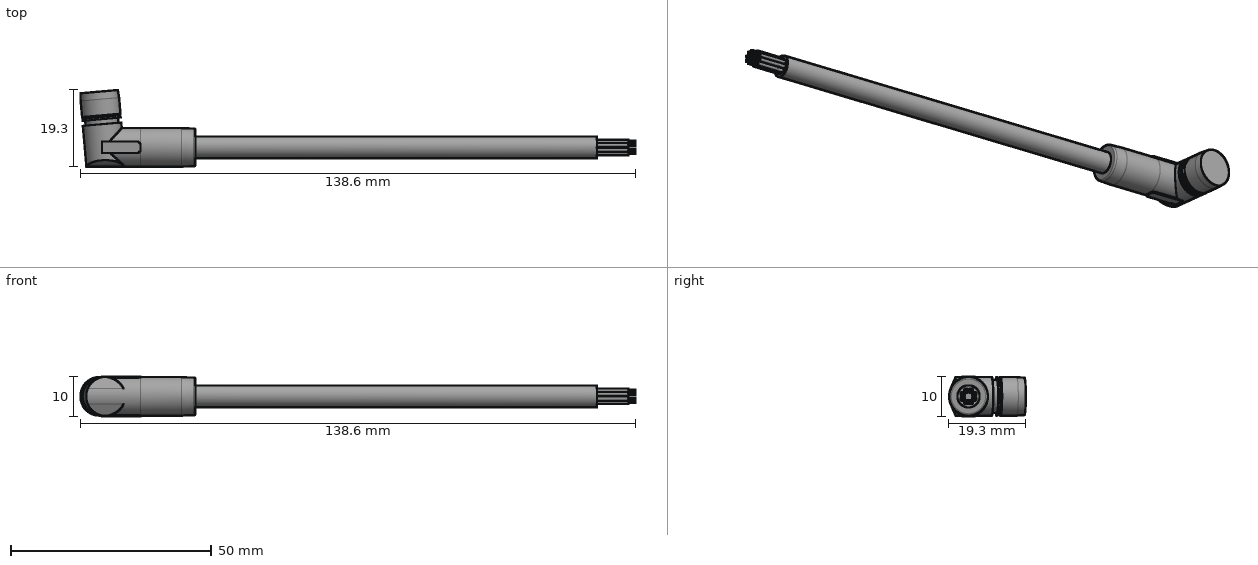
import cadquery as cq
import math


OVERALL_LENGTH = 138.6
BODY_RADIUS = 4.9
PLUG_LEAN = 5.0

BODY_TOP = 5.8
NECK_END = 7.1
GROOVE_BOTTOM = 7.6
NUT_START = 8.0
NUT_TAPER_START = 12.0
PLUG_END = 14.0
PLUG_OVERRUN = 8.3

NECK_RADIUS = 4.2
GROOVE_RADIUS = 4.6
PLUG_TIP_RADIUS = 4.7

RIDGE_HALF_WIDTH = 2.0

PAD_WIDTH = 2.9
PAD_SPAN = 10.0
PAD_START = -0.5
PAD_CORNER = 0.5

lean = math.radians(PLUG_LEAN)
left_reach = PLUG_END * math.sin(lean) + PLUG_TIP_RADIUS * math.cos(lean)

slope = math.asin(RIDGE_HALF_WIDTH / BODY_RADIUS)
ridge_y = -BODY_RADIUS * math.cos(slope)

boot_start = 15.0 - left_reach
boot_taper_start = 25.2 - left_reach
boot_end = 28.7 - left_reach
jacket_end = 128.9 - left_reach
insulation_end = 136.8 - left_reach
core_end = OVERALL_LENGTH - left_reach

BOOT_TIP_RADIUS = 4.7
BOOT_EDGE_FILLET = 0.4
JACKET_RADIUS = 2.8

WIRE_COUNT = 8
WIRE_RING_RADIUS = 1.5
INSULATION_RADIUS = 0.5
CORE_RADIUS = 0.3


def rod(radius, start, end, y=0.0, z=0.0):
    """Round bar parallel to X."""
    return cq.Workplane("YZ", origin=(start, y, z)).circle(radius).extrude(end - start)


def turned_plug():
    """Plug arm with neck, vee groove and nut, turned about its leaning axis."""
    profile = [
        (0, -PLUG_OVERRUN),
        (BODY_RADIUS, -PLUG_OVERRUN),
        (BODY_RADIUS, BODY_TOP),
        (NECK_RADIUS, BODY_TOP),
        (NECK_RADIUS, NECK_END),
        (BODY_RADIUS, NECK_END),
        (GROOVE_RADIUS, GROOVE_BOTTOM),
        (BODY_RADIUS, NUT_START),
        (BODY_RADIUS, NUT_TAPER_START),
        (PLUG_TIP_RADIUS, PLUG_END),
        (0, PLUG_END),
    ]
    upright = cq.Workplane("XY").polyline(profile).close().revolve(360, (0, 0, 0), (0, 1, 0))
    return upright.rotate((0, 0, 0), (0, 0, 1), PLUG_LEAN)


def cable_arm():
    """Round arm whose outline splits where the corner slopes touch it."""
    return (
        cq.Workplane("YZ")
        .moveTo(ridge_y, -RIDGE_HALF_WIDTH)
        .threePointArc((-BODY_RADIUS, 0), (ridge_y, RIDGE_HALF_WIDTH))
        .threePointArc((BODY_RADIUS, 0), (ridge_y, -RIDGE_HALF_WIDTH))
        .close()
        .extrude(boot_start)
    )


def corner_envelope():
    """Bar along X whose -Y side is a round ridge with a tangent slope on each side."""
    half_height = 2 * BODY_RADIUS
    slope_end_y = ridge_y + (half_height - RIDGE_HALF_WIDTH) * math.tan(slope)
    top_y = 2 * PLUG_END
    return (
        cq.Workplane("YZ")
        .moveTo(ridge_y, -RIDGE_HALF_WIDTH)
        .threePointArc((-BODY_RADIUS, 0), (ridge_y, RIDGE_HALF_WIDTH))
        .lineTo(slope_end_y, half_height)
        .lineTo(top_y, half_height)
        .lineTo(top_y, -half_height)
        .lineTo(slope_end_y, -half_height)
        .close()
        .extrude(PLUG_END, both=True)
    )


def pads():
    """Bar through the cable arm whose ends stand just proud of it as flat pads."""
    return (
        cq.Workplane("XY", origin=(PAD_START, 0, 0))
        .box(boot_start - PAD_START, PAD_WIDTH, PAD_SPAN, centered=(False, True, True))
        .edges("|Z and >X")
        .chamfer(PAD_CORNER)
    )


def boot():
    """Sleeve that carries the cable out of the plug, easing in towards its end."""
    profile = [
        (boot_start, 0),
        (boot_start, BODY_RADIUS),
        (boot_taper_start, BODY_RADIUS),
        (boot_end, BOOT_TIP_RADIUS),
        (boot_end, 0),
    ]
    sleeve = cq.Workplane("XY").polyline(profile).close().revolve(360, (0, 0, 0), (1, 0, 0))
    return sleeve.faces(">X").edges().fillet(BOOT_EDGE_FILLET)


def conductors():
    """Insulated wires in a ring, each with a bare core at its end."""
    bundle = cq.Workplane("XY")
    pitch = 2 * math.pi / WIRE_COUNT
    for index in range(WIRE_COUNT):
        angle = (index + 0.5) * pitch
        y = WIRE_RING_RADIUS * math.cos(angle)
        z = WIRE_RING_RADIUS * math.sin(angle)
        insulation = rod(INSULATION_RADIUS, jacket_end, insulation_end, y, z)
        core = rod(CORE_RADIUS, jacket_end, core_end, y, z)
        bundle = bundle.add(insulation.union(core))
    return bundle.combine()


jacket = rod(JACKET_RADIUS, 0, jacket_end)

result = (
    turned_plug()
    .intersect(corner_envelope())
    .union(cable_arm())
    .union(pads())
    .union(boot())
    .union(jacket)
    .union(conductors())
)